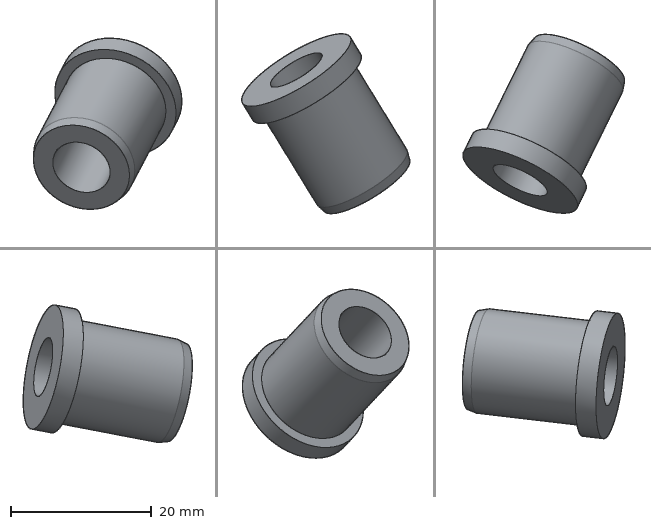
import cadquery as cq
import math

total_length = 20.0
head_diameter = 18.0
head_thickness = 3.0
body_diameter = 15.0
bore_diameter = 8.5

taper_length = 1.4
taper_angle = 15.0

body_radius = body_diameter / 2
head_radius = head_diameter / 2
bore_radius = bore_diameter / 2
tip_radius = body_radius - taper_length * math.tan(math.radians(taper_angle))

tip_y = -total_length / 2
head_y = total_length / 2
shoulder_y = head_y - head_thickness

half_section = (
    cq.Workplane("XY")
    .moveTo(bore_radius, tip_y)
    .lineTo(tip_radius, tip_y)
    .lineTo(body_radius, tip_y + taper_length)
    .lineTo(body_radius, shoulder_y)
    .lineTo(head_radius, shoulder_y)
    .lineTo(head_radius, head_y)
    .lineTo(bore_radius, head_y)
    .close()
)

result = half_section.revolve(360, (0, 0, 0), (0, 1, 0))